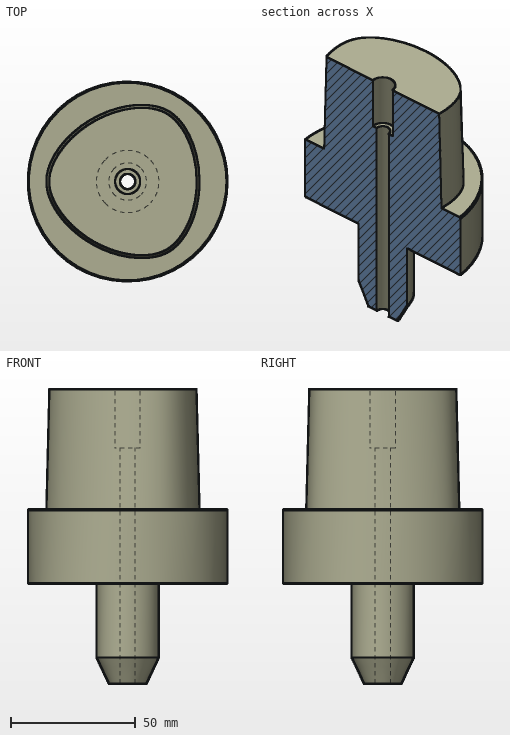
import cadquery as cq
import math

total_height = 118.0
pin_length = 40.0
tip_length = 10.6
flange_thickness = 30.0
flange_top = pin_length + flange_thickness
taper_height = total_height - flange_top

flange_diameter = 80.0
pin_diameter = 25.0
tip_diameter = 15.0
bore_diameter = 6.0
counterbore_diameter = 10.0
counterbore_depth = 23.6
flange_chamfer = 0.5

base_width = 61.4
taper_ratio = 1 / 20
top_width = base_width - taper_height * taper_ratio
lobe_height = 1.9


def lobed_point(angle, width):
    """Point on the outline whose outward normal is at the given angle."""
    radius = width / 2
    x = radius * math.cos(angle) - lobe_height * (2 * math.cos(2 * angle) - math.cos(4 * angle))
    y = radius * math.sin(angle) + lobe_height * (2 * math.sin(2 * angle) + math.sin(4 * angle))
    return x, y


def lobed_wire(width, z):
    """Closed smooth three-lobed outline at height z."""
    point_count = 36
    points = []
    for index in range(point_count):
        x, y = lobed_point(2 * math.pi * index / point_count, width)
        points.append(cq.Vector(x, y, z))
    return cq.Wire.assembleEdges([cq.Edge.makeSpline(points, periodic=True)])


def make_pin():
    """Locating pin with a conical lead-in, revolved about Z."""
    return (
        cq.Workplane("XZ")
        .moveTo(0, 0)
        .lineTo(tip_diameter / 2, 0)
        .lineTo(pin_diameter / 2, tip_length)
        .lineTo(pin_diameter / 2, pin_length)
        .lineTo(0, pin_length)
        .close()
        .revolve(360, (0, 0, 0), (0, 1, 0))
    )


def make_flange():
    """Round flange with both rims chamfered."""
    return (
        cq.Workplane("XY", origin=(0, 0, pin_length))
        .circle(flange_diameter / 2)
        .extrude(flange_thickness)
        .edges()
        .chamfer(flange_chamfer)
    )


def make_taper():
    """Three-lobed taper that narrows towards the top."""
    base = lobed_wire(base_width, flange_top)
    top = lobed_wire(top_width, total_height)
    return cq.Workplane(obj=cq.Solid.makeLoft([base, top], True))


body = make_pin().union(make_flange()).union(make_taper())

result = body.faces(">Z").workplane(origin=(0, 0, total_height)).cboreHole(
    bore_diameter, counterbore_diameter, counterbore_depth
)